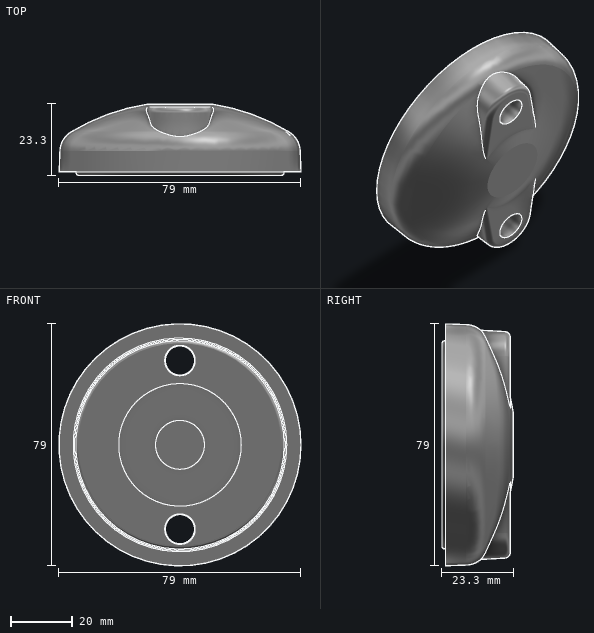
import cadquery as cq
import math


rim_radius = 39.5
side_height = 6.8
side_draft = 2.0
shoulder_round = 7.7
dome_edge_slope = 31.0
dome_height = 22.1

recess_radius = 34.8
recess_draft = 5.0
recess_depth = 5.05
plate_radius = 34.0
plate_protrusion = 1.2
plate_edge_round = 0.95
ring_recess_radius = 20.0
ring_recess_depth = 0.3
hub_radius = 8.0

boss_offset = 27.5
boss_top = 21.2
boss_end_radius = 9.4
boss_middle_radius = 13.35
boss_draft = 3.0
boss_edge_round = 2.0
boss_root = 9.5
housing_hole_radius = 4.75
plate_hole_radius = 5.0

hole_sides = (1, -1)


def disc(radius, start, end, z=0.0):
    """Cylinder along Y from start to end, centred on X = 0 and the given Z."""
    return cq.Workplane("XZ", origin=(0, start, z)).circle(radius).extrude(start - end)


def dome_body():
    """Drafted side, rounded shoulder and spherical dome with a flat crown."""
    draft = math.radians(side_draft)
    slope = math.radians(dome_edge_slope)
    side_top_radius = rim_radius - side_height * math.tan(draft)

    dome_edge_radius = side_top_radius - shoulder_round * (math.cos(draft) - math.sin(slope))
    dome_edge_height = side_height + shoulder_round * (math.cos(slope) - math.sin(draft))

    sphere_radius = dome_edge_radius / math.sin(slope)
    sphere_centre = dome_edge_height - sphere_radius * math.cos(slope)
    crown_radius = math.sqrt(sphere_radius**2 - (dome_height - sphere_centre) ** 2)
    middle_radius = (dome_edge_radius + crown_radius) / 2
    middle_height = sphere_centre + math.sqrt(sphere_radius**2 - middle_radius**2)
    return (
        cq.Workplane("XY")
        .lineTo(rim_radius, 0)
        .lineTo(side_top_radius, side_height)
        .tangentArcPoint((dome_edge_radius, dome_edge_height), relative=False)
        .threePointArc((middle_radius, middle_height), (crown_radius, dome_height))
        .lineTo(0, dome_height)
        .close()
        .revolve(360, (0, 0, 0), (0, 1, 0))
    )


def boss_bar():
    """Both bosses as one drafted bar: round ends joined by tangent flanks to a wider middle."""
    lean = (boss_middle_radius - boss_end_radius) / boss_offset
    across = math.sqrt(1 - lean**2)
    end_x = boss_end_radius * across
    end_z = boss_offset + boss_end_radius * lean
    middle_x = boss_middle_radius * across
    middle_z = boss_middle_radius * lean
    tip_z = boss_offset + boss_end_radius
    return (
        cq.Workplane("XZ", origin=(0, boss_top, 0))
        .moveTo(middle_x, middle_z)
        .lineTo(end_x, end_z)
        .threePointArc((0, tip_z), (-end_x, end_z))
        .lineTo(-middle_x, middle_z)
        .threePointArc((-boss_middle_radius, 0), (-middle_x, -middle_z))
        .lineTo(-end_x, -end_z)
        .threePointArc((0, -tip_z), (end_x, -end_z))
        .lineTo(middle_x, -middle_z)
        .threePointArc((boss_middle_radius, 0), (middle_x, middle_z))
        .close()
        .extrude(boss_top - boss_root, taper=-boss_draft)
        .faces(">Y")
        .edges()
        .fillet(boss_edge_round)
    )


def make_housing():
    """Domed shell with its bosses, the drafted recess and the through holes."""
    housing = dome_body().union(boss_bar())
    recess = cq.Workplane("XZ").circle(recess_radius).extrude(-recess_depth, taper=recess_draft)
    housing = housing.cut(recess)
    for side in hole_sides:
        housing = housing.cut(disc(housing_hole_radius, 0, dome_height, side * boss_offset))
    return housing


def make_plate():
    """Round plate seated on the recess floor, with a shallow ring recess around a flush hub."""
    plate = disc(plate_radius, -plate_protrusion, recess_depth)
    plate = plate.faces("<Y").edges().fillet(plate_edge_round)
    ring_floor = ring_recess_depth - plate_protrusion
    ring = disc(ring_recess_radius, -plate_protrusion, ring_floor)
    hub = disc(hub_radius, -plate_protrusion, ring_floor)
    plate = plate.cut(ring.cut(hub))
    for side in hole_sides:
        plate = plate.cut(disc(plate_hole_radius, -plate_protrusion, recess_depth, side * boss_offset))
    return plate


housing = make_housing()
plate = make_plate()

result = cq.Compound.makeCompound([housing.solids().val(), plate.solids().val()])